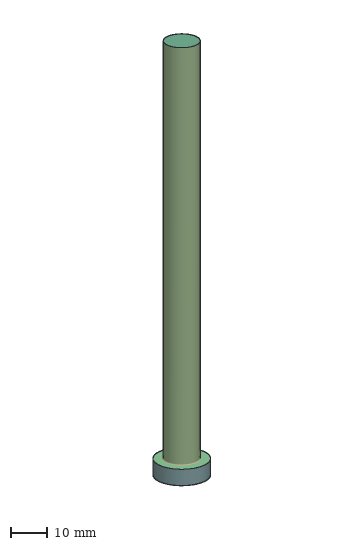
import cadquery as cq

total_length = 130.0
head_diameter = 16.0
head_height = 5.0
shaft_diameter = 10.3

root_radius = 0.3

head = cq.Workplane("XY").circle(head_diameter / 2).extrude(head_height)
shaft = cq.Workplane("XY").circle(shaft_diameter / 2).extrude(total_length)
pin = head.union(shaft)

root_edge = cq.selectors.RadiusNthSelector(0)
result = pin.faces("<Z[1]").edges(root_edge).fillet(root_radius)